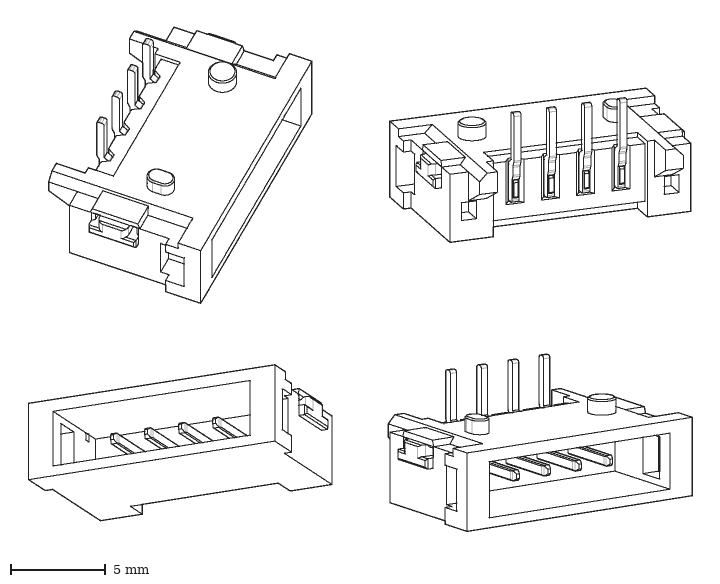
import cadquery as cq


LENGTH_X = 9.45
WIDTH_Y = 14.5
HOUSING_TOP = 4.26
OVERALL_TOP = 6.75

BODY_BACK = 1.67
BODY_HALF = 6.82
FLANGE_HALF = WIDTH_Y / 2
FLANGE_START = 7.42
SHOULDER_END = 8.15
BEVEL = 0.44
SHOULDER_Z = HOUSING_TOP - BEVEL
RAIL_HALF = 5.77

EAR_INNER = 4.75
EAR_TIP_Z = 3.12
EAR_ROOT_Z = 2.2

RECESS_HALF = 4.35
MIDDLE_BACK = 2.02
STEP_END = 3.12
STEP_Z = 4.0
UNDERCUT_Z = 0.77

CAVITY_BACK = 4.35
CAVITY_HALF = 5.8
CAVITY_FLOOR = 0.55
CAVITY_TOP = 3.6
WINDOW_START = 6.95
WINDOW_END = 8.5
WINDOW_FLOOR = 0.91
WINDOW_TOP = 3.2

HOLE_INNER = 5.32
HOLE_OUTER = 6.15
HOLE_FLOOR = 1.15
HOLE_TOP = 2.15
HOLE_DEPTH = 1.16

PIN_COUNT = 4
PIN_PITCH = 2.0
PIN_WIDTH = 0.4
PIN_THICKNESS = 0.44
PIN_BACK = 1.64
PIN_TIP_ROUND = 0.15
PIN_JOG = 0.15
UPPER_JOG_TOP = 4.06
UPPER_JOG_BOTTOM = 3.77
LOWER_JOG_TOP = 3.2
LOWER_JOG_BOTTOM = 2.96
JOG_ROUND = 0.22
SHOULDER_DROP = 0.26
PIN_BOTTOM = 1.67
PIN_BEND_ROUND = 0.15
SLOT_FLOOR = 1.58
SLOT_END = 2.45
SLOT_MOUTH = 1.02
SLOT_NECK = 0.46
RIB_WIDTH = 0.26
RIB_HEIGHT = 0.09
RIB_BOTTOM = 1.93
RIB_TOP = 2.93
RIB_TOP_RAMP = 0.12
RIB_BOTTOM_RAMP = 0.09

BLADE_BOTTOM = 1.87
BLADE_TOP = 2.45
BLADE_END = 8.06
BLADE_EDGE = 0.06
POINT_LENGTH = 0.25
POINT_DROP = 0.16
SIDE_TAPER_LENGTH = 0.4
SIDE_TAPER = 0.12
SIDE_TAPER_LEAD = 0.03

POST_X = 5.71
POST_DIAMETER = 1.5
POST_Y = 4.02
POST_TOP = 5.09
POST_CHAMFER = 0.09
OVAL_WIDTH = 1.0

CLIP_X = 4.3
COVER_TOP = 4.16
COVER_LENGTH = 2.64
COVER_BASE_LENGTH = 2.87
COVER_INNER = 5.22
POCKET_LENGTH = 2.74
POCKET_INNER_LENGTH = 2.39
POCKET_TAPER = 0.15
CLIP_BOTTOM = 2.64
CLIP_BAR_TOP = 3.2
CLIP_CHAMFER = 0.1
CLIP_STEM_LENGTH = 1.68
CLIP_STEM_ROUND = 0.3


def block(x0, x1, y0, y1, z0, z1):
    """Axis-aligned box between two opposite corners."""
    return cq.Workplane("XY").box(x1 - x0, y1 - y0, z1 - z0, centered=False).translate((x0, y0, z0))


def wide_block(x0, x1, half, z0, z1):
    """Box centred on Y = 0."""
    return block(x0, x1, -half, half, z0, z1)


def side_profile(points, y0, y1):
    """Outline in X and Z, extruded from y0 to y1."""
    return cq.Workplane("XZ", origin=(0, y0, 0)).polyline(points).close().extrude(y0 - y1)


def both_sides(shape):
    """The shape together with its mirror image across Y = 0."""
    return shape.union(shape.mirror("XZ"))


def bevelled_top():
    """Rail profile across Y: full height in the middle, 45-degree bevels, low shoulders outside."""
    rail_top_half = RAIL_HALF - BEVEL
    outline = [
        (-RAIL_HALF, 0),
        (RAIL_HALF, 0),
        (RAIL_HALF, SHOULDER_Z),
        (rail_top_half, HOUSING_TOP),
        (-rail_top_half, HOUSING_TOP),
        (-RAIL_HALF, SHOULDER_Z),
    ]
    return cq.Workplane("YZ").polyline(outline).close().extrude(LENGTH_X)


def guide_ears(rail):
    """Two ears with a sloping underside that carry the bevelled rails out to X = 0."""
    outline = [
        (0, EAR_TIP_Z),
        (BODY_BACK, EAR_ROOT_Z),
        (BODY_BACK, HOUSING_TOP),
        (0, HOUSING_TOP),
    ]
    ear = side_profile(outline, EAR_INNER, RAIL_HALF)
    return both_sides(ear).intersect(rail)


def clip_covers():
    """Raised trapezoidal covers on the shoulders, above the clips."""
    outline = [
        (CLIP_X - COVER_BASE_LENGTH / 2, SHOULDER_Z),
        (CLIP_X + COVER_BASE_LENGTH / 2, SHOULDER_Z),
        (CLIP_X + COVER_LENGTH / 2, COVER_TOP),
        (CLIP_X - COVER_LENGTH / 2, COVER_TOP),
    ]
    return both_sides(side_profile(outline, COVER_INNER, BODY_HALF))


def clip_pockets():
    """Openings from each side to the cavity, narrowing just behind the outer face."""
    pocket_roof = SHOULDER_Z - POCKET_TAPER
    throat = block(
        CLIP_X - POCKET_INNER_LENGTH / 2, CLIP_X + POCKET_INNER_LENGTH / 2,
        CAVITY_HALF, BODY_HALF, CLIP_BAR_TOP, pocket_roof,
    )
    mouth_height = SHOULDER_Z - CLIP_BAR_TOP
    throat_height = pocket_roof - CLIP_BAR_TOP
    mouth = (
        cq.Workplane("XZ", origin=(CLIP_X, BODY_HALF, CLIP_BAR_TOP))
        .center(0, mouth_height / 2)
        .rect(POCKET_LENGTH, mouth_height)
        .workplane(offset=POCKET_TAPER)
        .center(0, (throat_height - mouth_height) / 2)
        .rect(POCKET_INNER_LENGTH, throat_height)
        .loft(combine=True)
    )
    return both_sides(throat.union(mouth))


def clips():
    """T-shaped side clips: a low bar with a round-cornered stem standing on it."""
    bar = block(
        CLIP_X - POCKET_LENGTH / 2, CLIP_X + POCKET_LENGTH / 2,
        CAVITY_HALF, FLANGE_HALF, CLIP_BOTTOM, CLIP_BAR_TOP,
    ).faces(">Y").chamfer(CLIP_CHAMFER)
    stem = block(
        CLIP_X - CLIP_STEM_LENGTH / 2, CLIP_X + CLIP_STEM_LENGTH / 2,
        CAVITY_HALF, FLANGE_HALF, CLIP_BOTTOM + CLIP_CHAMFER, SHOULDER_Z,
    )
    stem = stem.edges("|Z and >Y").fillet(CLIP_STEM_ROUND)
    return both_sides(bar.union(stem.cut(stem_top_wedge())))


def stem_top_wedge():
    """Wedge that bevels the top outer edge of a clip stem."""
    outline = [
        (FLANGE_HALF - CLIP_CHAMFER, SHOULDER_Z),
        (FLANGE_HALF, SHOULDER_Z),
        (FLANGE_HALF, SHOULDER_Z - CLIP_CHAMFER),
    ]
    return cq.Workplane("YZ").polyline(outline).close().extrude(LENGTH_X)


def pin_slot():
    """Slot for one pin, narrowing from its mouth to its neck."""
    outline = [
        (MIDDLE_BACK, -SLOT_MOUTH / 2),
        (SLOT_END, -SLOT_NECK / 2),
        (SLOT_END, SLOT_NECK / 2),
        (MIDDLE_BACK, SLOT_MOUTH / 2),
    ]
    return (
        cq.Workplane("XY", origin=(0, 0, SLOT_FLOOR))
        .polyline(outline).close().extrude(HOUSING_TOP - SLOT_FLOOR)
    )


def blade():
    """Contact blade with bevelled long edges and a tip that tapers in both directions."""
    half = PIN_WIDTH / 2
    bar = block(MIDDLE_BACK + PIN_JOG, BLADE_END, -half, half, BLADE_BOTTOM, BLADE_TOP)
    bar = bar.edges("|X").chamfer(BLADE_EDGE)
    side_outline = [
        (0, BLADE_BOTTOM),
        (BLADE_END - POINT_LENGTH, BLADE_BOTTOM),
        (BLADE_END, BLADE_BOTTOM + POINT_DROP),
        (BLADE_END, BLADE_TOP - POINT_DROP),
        (BLADE_END - POINT_LENGTH, BLADE_TOP),
        (0, BLADE_TOP),
    ]
    plan_outline = [
        (0, -half),
        (BLADE_END - SIDE_TAPER_LENGTH, -half),
        (BLADE_END - POINT_LENGTH, SIDE_TAPER_LEAD - half),
        (BLADE_END, SIDE_TAPER - half),
        (BLADE_END, half - SIDE_TAPER),
        (BLADE_END - POINT_LENGTH, half - SIDE_TAPER_LEAD),
        (BLADE_END - SIDE_TAPER_LENGTH, half),
        (0, half),
    ]
    plan = cq.Workplane("XY").polyline(plan_outline).close().extrude(HOUSING_TOP)
    return bar.intersect(side_profile(side_outline, -half, half)).intersect(plan)


def rib(base_x):
    """Narrow rib standing out from the pin face at base_x, ramped at both ends."""
    crest_x = base_x - RIB_HEIGHT
    outline = [
        (base_x, RIB_BOTTOM),
        (crest_x, RIB_BOTTOM + RIB_BOTTOM_RAMP),
        (crest_x, RIB_TOP - RIB_TOP_RAMP),
        (base_x, RIB_TOP),
    ]
    return side_profile(outline, -RIB_WIDTH / 2, RIB_WIDTH / 2)


def pin():
    """One pin: upright tail, two jogs and a shoulder going down, a rib on its outer face, and the blade."""
    half = PIN_WIDTH / 2
    tail_front = PIN_BACK + PIN_THICKNESS
    middle_x = PIN_BACK + PIN_JOG
    lower_x = middle_x + PIN_JOG
    shoulder_z = UPPER_JOG_TOP - SHOULDER_DROP
    outline = [
        (PIN_BACK, OVERALL_TOP),
        (PIN_BACK, UPPER_JOG_TOP),
        (middle_x, UPPER_JOG_BOTTOM),
        (middle_x, LOWER_JOG_TOP),
        (lower_x, LOWER_JOG_BOTTOM),
        (lower_x, PIN_BOTTOM),
        (SLOT_END, PIN_BOTTOM),
        (SLOT_END, shoulder_z),
        (tail_front, UPPER_JOG_TOP),
        (tail_front, OVERALL_TOP),
    ]
    body = side_profile(outline, -half, half)
    body = body.faces(">Z").edges("|Y").fillet(PIN_TIP_ROUND)
    body = body.faces("<Z").edges("|Y and <X").fillet(PIN_BEND_ROUND)
    rounded_corners = [
        (PIN_BACK, UPPER_JOG_TOP),
        (middle_x, UPPER_JOG_BOTTOM),
        (middle_x, LOWER_JOG_TOP),
        (SLOT_END, shoulder_z),
    ]
    for x, z in rounded_corners:
        body = body.edges(cq.selectors.NearestToPointSelector((x, 0, z))).fillet(JOG_ROUND)
    return body.union(rib(lower_x)).union(blade())


def locating_posts():
    """A round post on the +Y side and an oval one on the -Y side."""
    height = POST_TOP - HOUSING_TOP
    top_face = cq.Workplane("XY", origin=(POST_X, 0, HOUSING_TOP))
    round_post = top_face.center(0, POST_Y).circle(POST_DIAMETER / 2).extrude(height)
    oval_post = top_face.center(0, -POST_Y).slot2D(POST_DIAMETER, OVAL_WIDTH).extrude(height)
    round_post = round_post.faces(">Z").chamfer(POST_CHAMFER)
    oval_post = oval_post.faces(">Z").chamfer(POST_CHAMFER)
    return round_post.union(oval_post)


def housing():
    """Moulded housing without pins and clips."""
    rail = bevelled_top()
    body = wide_block(BODY_BACK, FLANGE_START, BODY_HALF, 0, SHOULDER_Z)
    body = body.union(wide_block(FLANGE_START, LENGTH_X, FLANGE_HALF, 0, SHOULDER_Z))
    body = body.union(wide_block(SHOULDER_END, LENGTH_X, FLANGE_HALF, 0, HOUSING_TOP))
    body = body.union(rail.intersect(wide_block(BODY_BACK, LENGTH_X, RAIL_HALF, 0, HOUSING_TOP)))
    body = body.union(guide_ears(rail)).union(clip_covers())

    body = body.cut(wide_block(BODY_BACK, MIDDLE_BACK, RECESS_HALF, 0, HOUSING_TOP))
    body = body.cut(wide_block(MIDDLE_BACK, STEP_END, RECESS_HALF, STEP_Z, HOUSING_TOP))
    body = body.cut(wide_block(MIDDLE_BACK, STEP_END, RECESS_HALF, 0, UNDERCUT_Z))

    body = body.cut(wide_block(CAVITY_BACK, LENGTH_X, CAVITY_HALF, CAVITY_FLOOR, CAVITY_TOP))
    body = body.cut(wide_block(WINDOW_START, WINDOW_END, FLANGE_HALF, WINDOW_FLOOR, WINDOW_TOP))

    pillar_hole = block(
        BODY_BACK, BODY_BACK + HOLE_DEPTH, HOLE_INNER, HOLE_OUTER, HOLE_FLOOR, HOLE_TOP,
    )
    return body.cut(both_sides(pillar_hole)).cut(clip_pockets())


result = housing().union(clips()).union(locating_posts())
for index in range(PIN_COUNT):
    pin_y = (index - (PIN_COUNT - 1) / 2) * PIN_PITCH
    result = result.cut(pin_slot().translate((0, pin_y, 0)))
    result = result.union(pin().translate((0, pin_y, 0)))